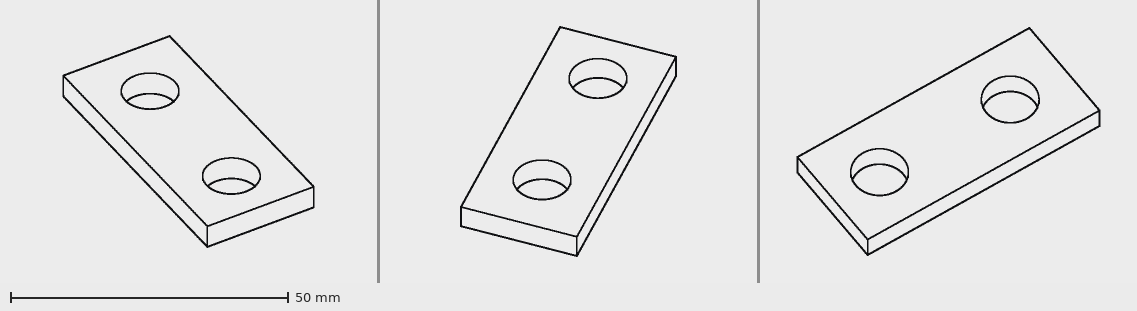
import cadquery as cq

length = 50.8
width = 22.35
thickness = 4.8

hole_diameter = 10.4
left_hole_inset = 11.9
right_hole_inset = 10.3
hole_centers = [
    (-length / 2 + left_hole_inset, 0),
    (length / 2 - right_hole_inset, 0),
]

plate = cq.Workplane("XY").box(length, width, thickness)

result = plate.faces(">Z").workplane().pushPoints(hole_centers).hole(hole_diameter)